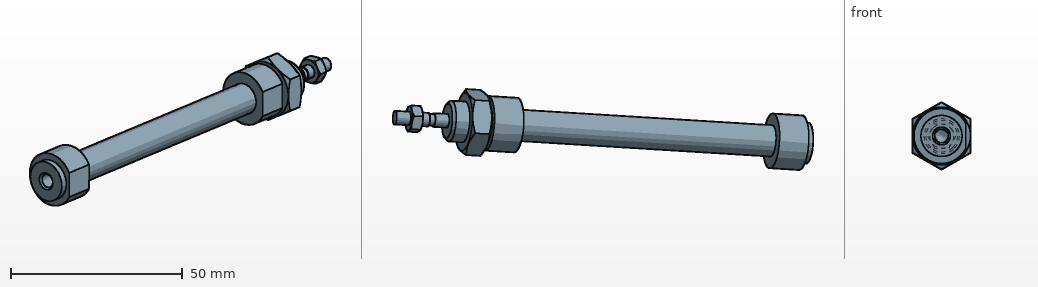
import cadquery as cq
import math

TOTAL_LENGTH = 126.0
TIP_Y = TOTAL_LENGTH / 2
REAR_Y = -TOTAL_LENGTH / 2

TUBE_D = 9.2
BOSS_D = 12.0
COLLAR_D = 16.0
COLLAR_LENGTH = 9.0
COLLAR_FLAT_X = 7.0
REAR_BOSS_LENGTH = 2.0
FRONT_COLLAR_Y = TIP_Y - 36.9
NOSE_LENGTH = 12.0
NOSE_CHAMFER = 0.9

PORT_D = 4.0
PORT_MOUTH_D = 5.2
PORT_DEPTH = 6.3
PORT_CHAMFER = (PORT_MOUTH_D - PORT_D) / 2
DRILL_TIP_ANGLE = 118.0

ROD_D = 4.0
ROD_GROOVE_D = 3.5
ROD_GROOVE_WIDTH = 1.6
ROD_GROOVE_FROM_TIP = 10.2

MOUNT_NUT_FLATS = 17.0
MOUNT_NUT_THICKNESS = 5.9
MOUNT_NUT_GAP = 1.0
ROD_NUT_FLATS = 7.0
ROD_NUT_THICKNESS = 3.3
ROD_NUT_FROM_TIP = 4.3
NUT_CHAMFER_ANGLE = 30.0
NUT_FACE_RATIO = 0.99

REAR_COLLAR_Y = REAR_Y + REAR_BOSS_LENGTH
NOSE_Y = FRONT_COLLAR_Y + COLLAR_LENGTH
NOSE_END_Y = NOSE_Y + NOSE_LENGTH


def cylinder(diameter, start_y, end_y):
    """Cylinder on the Y axis from start_y to end_y."""
    return (
        cq.Workplane("XZ", origin=(0, start_y, 0))
        .circle(diameter / 2)
        .extrude(start_y - end_y)
    )


def turned(points):
    """Solid of revolution about Y from a closed (radius, y) profile."""
    return cq.Workplane("XY").polyline(points).close().revolve(360, (0, 0), (0, 1))


def make_collar(start_y):
    """Round collar with one flat on its +X side."""
    flat_cutter = cq.Workplane("XY").box(
        COLLAR_D, COLLAR_LENGTH, COLLAR_D, centered=(False, False, True)
    ).translate((COLLAR_FLAT_X, start_y, 0))
    return cylinder(COLLAR_D, start_y, start_y + COLLAR_LENGTH).cut(flat_cutter)


def make_port():
    """Cutter for the rear port: countersunk mouth, bore and drill point."""
    bore_r = PORT_D / 2
    bore_end_y = REAR_Y + PORT_DEPTH
    drill_tip = bore_r / math.tan(math.radians(DRILL_TIP_ANGLE / 2))
    return turned([
        (0, REAR_Y),
        (PORT_MOUTH_D / 2, REAR_Y),
        (bore_r, REAR_Y + PORT_CHAMFER),
        (bore_r, bore_end_y),
        (0, bore_end_y + drill_tip),
    ])


def make_housing():
    """Cylinder housing with the rear port and a blind bore for the rod."""
    body = cylinder(TUBE_D, REAR_COLLAR_Y, NOSE_Y)
    rear_boss = cylinder(BOSS_D, REAR_Y, REAR_COLLAR_Y)
    nose = cylinder(BOSS_D, NOSE_Y, NOSE_END_Y).faces(">Y").chamfer(NOSE_CHAMFER)
    for piece in (make_collar(REAR_COLLAR_Y), make_collar(FRONT_COLLAR_Y), rear_boss, nose):
        body = body.union(piece)
    return body.cut(make_port()).cut(cylinder(ROD_D, FRONT_COLLAR_Y, NOSE_END_Y))


def make_rod():
    """Piston rod seated in the housing bore, with a shallow ring groove."""
    groove_end_y = TIP_Y - ROD_GROOVE_FROM_TIP
    groove_start_y = groove_end_y - ROD_GROOVE_WIDTH
    groove = cylinder(ROD_D, groove_start_y, groove_end_y).cut(
        cylinder(ROD_GROOVE_D, groove_start_y, groove_end_y)
    )
    return cylinder(ROD_D, FRONT_COLLAR_Y, TIP_Y).cut(groove)


def make_nut(flats, thickness, bore_d, start_y, turn):
    """Hexagon nut chamfered on both faces; turn 0 puts two corners on X."""
    corners = 2 * flats / math.sqrt(3)
    end_y = start_y + thickness
    face_r = flats * NUT_FACE_RATIO / 2
    corner_r = corners / 2
    chamfer_y = (corner_r - face_r) * math.tan(math.radians(NUT_CHAMFER_ANGLE))
    hexagon = (
        cq.Workplane("XZ", origin=(0, start_y, 0))
        .polygon(6, corners)
        .extrude(-thickness)
        .rotate((0, 0, 0), (0, 1, 0), turn)
    )
    envelope = turned([
        (0, start_y),
        (face_r, start_y),
        (corner_r, start_y + chamfer_y),
        (corner_r, end_y - chamfer_y),
        (face_r, end_y),
        (0, end_y),
    ])
    return hexagon.intersect(envelope).cut(cylinder(bore_d, start_y, end_y))


housing = make_housing()
rod = make_rod()
mount_nut = make_nut(
    MOUNT_NUT_FLATS, MOUNT_NUT_THICKNESS, BOSS_D, NOSE_Y + MOUNT_NUT_GAP, turn=30
)
rod_nut = make_nut(
    ROD_NUT_FLATS, ROD_NUT_THICKNESS, ROD_D, TIP_Y - ROD_NUT_FROM_TIP - ROD_NUT_THICKNESS, turn=0
)

result = cq.Compound.makeCompound([housing.val(), rod.val(), mount_nut.val(), rod_nut.val()])